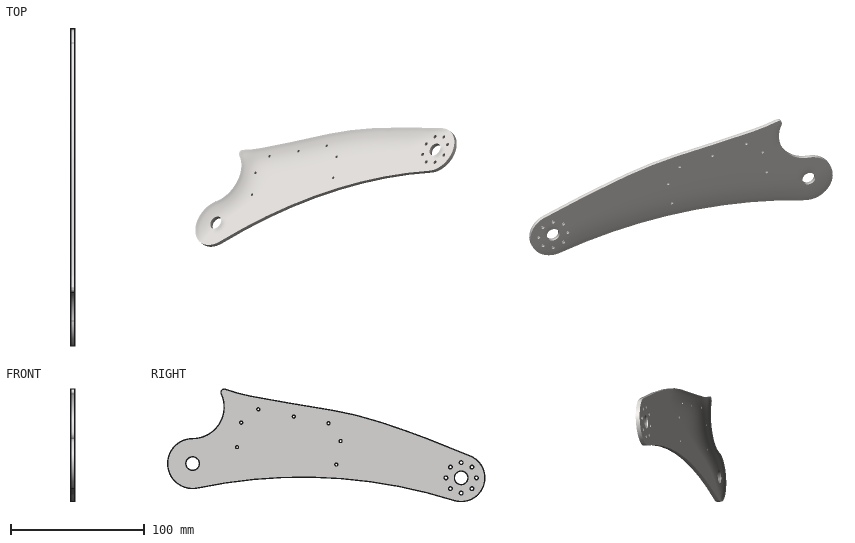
import cadquery as cq
import math

thickness = 3.0
overall_length = 237.5
overall_height = 84.3

hub_radius = 17.8
pivot_radius = 18.8
pivot_center = (overall_length - hub_radius - pivot_radius, 10.7)
bore_diameter = 10.0

notch_radius = 23.5
notch_center = (pivot_center[0], pivot_center[1] + pivot_radius + notch_radius)

tip_radius = 2.5
tip_height = overall_height - hub_radius - tip_radius
tip_drop = notch_center[1] - tip_height
tip_reach = math.sqrt((notch_radius + tip_radius) ** 2 - tip_drop ** 2)
tip_center = (notch_center[0] - tip_reach, tip_height)
tip_to_notch_angle = math.degrees(math.atan2(tip_drop, tip_reach))

hub_top_angle = 113.0
tip_top_angle = 112.0
hub_bottom_angle = -74.0
pivot_bottom_angle = -101.0
top_edge_points = [(41.0, 35.2), (81.2, 47.5), (115.7, 54.0), (144.2, 58.7), (167.0, 63.5)]
bottom_edge_crest = (117.8, 0.5)

bolt_count = 8
bolt_circle_radius = 11.5
bolt_hole_diameter = 2.5

mount_hole_diameter = 2.1
mount_holes = [
    (93.4, 10.0), (90.3, 27.5), (99.3, 40.9), (125.2, 45.9),
    (151.8, 51.3), (164.6, 41.3), (167.7, 23.0),
]


def on_circle(center, radius, angle):
    """Point on a circle at an angle in degrees."""
    turn = math.radians(angle)
    return (center[0] + radius * math.cos(turn), center[1] + radius * math.sin(turn))


def direction(angle):
    """Unit vector at an angle in degrees."""
    return on_circle((0, 0), 1, angle)


def make_profile(plane):
    hub_center = (0, 0)
    hub_top = on_circle(hub_center, hub_radius, hub_top_angle)
    hub_bottom = on_circle(hub_center, hub_radius, hub_bottom_angle)
    tip_top = on_circle(tip_center, tip_radius, tip_top_angle)
    tip_side = on_circle(tip_center, tip_radius, (tip_top_angle + tip_to_notch_angle) / 2)
    notch_start = on_circle(tip_center, tip_radius, tip_to_notch_angle)
    notch_middle_angle = (180 + tip_to_notch_angle + 270) / 2
    notch_middle = on_circle(notch_center, notch_radius, notch_middle_angle)
    pivot_top = on_circle(pivot_center, pivot_radius, 90)
    pivot_end = on_circle(pivot_center, pivot_radius, 0)
    pivot_bottom = on_circle(pivot_center, pivot_radius, pivot_bottom_angle)
    top_edge_tangents = [direction(hub_top_angle - 90), direction(tip_top_angle - 90)]
    return (
        plane.moveTo(*hub_top)
        .spline(top_edge_points + [tip_top], tangents=top_edge_tangents, includeCurrent=True)
        .threePointArc(tip_side, notch_start)
        .threePointArc(notch_middle, pivot_top)
        .threePointArc(pivot_end, pivot_bottom)
        .threePointArc(bottom_edge_crest, hub_bottom)
        .threePointArc((-hub_radius, 0), hub_top)
        .close()
    )


def make_holes(plane, centers, diameter):
    return plane.pushPoints(centers).circle(diameter / 2).extrude(-thickness)


side_plane = cq.Workplane(cq.Plane(origin=(0, 0, 0), xDir=(0, -1, 0), normal=(-1, 0, 0)))
bolt_holes = [
    on_circle((0, 0), bolt_circle_radius, index * 360 / bolt_count)
    for index in range(bolt_count)
]

arm = make_profile(side_plane).extrude(-thickness)
arm = arm.cut(make_holes(side_plane, [(0, 0), pivot_center], bore_diameter))
arm = arm.cut(make_holes(side_plane, bolt_holes, bolt_hole_diameter))
result = arm.cut(make_holes(side_plane, mount_holes, mount_hole_diameter))